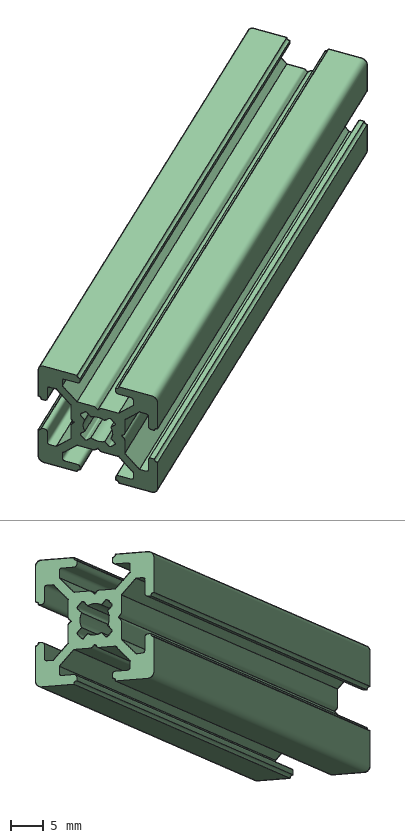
import cadquery as cq
import math

length = 85.0
width = 20.0
half_width = width / 2
outer_radius = 1.0

mouth_half_width = 3.0
lip_thickness = 1.5
lip_notch_radius = 0.5
lip_tip_radius = 0.5
pocket_half_width = 5.95
pocket_corner_radius = 0.4
web_thickness = 1.45
core_half_width = 4.5

groove_half_width = 0.5
groove_depth = 0.5
groove_edge_radius = 0.5

bore_radius = 2.5
relief_reach = 3.6
relief_width = 1.45
relief_corner_radius = 0.25


def extrude(sketch):
    """Extrude an outline drawn on the XZ plane over the full length, centred on Y."""
    return sketch.extrude(length / 2, both=True)


def outer_bar():
    bar = extrude(cq.Workplane("XZ").rect(width, width))
    return bar.edges("|Y").fillet(outer_radius)


def slot_cutter():
    """T-slot opening towards +Z, including the sloped flanks and the floor groove."""
    lip_bottom = half_width - lip_thickness
    flank_offset = web_thickness / 2 * math.sqrt(2)
    right_side = [
        (groove_half_width, core_half_width),
        (core_half_width - flank_offset, core_half_width),
        (pocket_half_width, pocket_half_width + flank_offset),
        (pocket_half_width, lip_bottom),
        (mouth_half_width, lip_bottom),
        (mouth_half_width, half_width),
    ]
    left_side = [(-x, z) for x, z in reversed(right_side)]
    groove_bottom = (0, core_half_width - groove_depth)
    outline = cq.Workplane("XZ").polyline([groove_bottom] + right_side + left_side).close()
    cutter = extrude(outline)

    for side in (-1, 1):
        pocket_corner = (side * pocket_half_width, 0, lip_bottom)
        groove_edge = (side * groove_half_width, 0, core_half_width)
        lip_tip = (side * mouth_half_width, 0, lip_bottom)
        cutter = cutter.edges(cq.NearestToPointSelector(pocket_corner)).fillet(pocket_corner_radius)
        cutter = cutter.edges(cq.NearestToPointSelector(lip_tip)).fillet(lip_tip_radius)
        cutter = cutter.edges(cq.NearestToPointSelector(groove_edge)).fillet(groove_edge_radius)

    notch_centres = [(-mouth_half_width, half_width), (mouth_half_width, half_width)]
    notches = extrude(cq.Workplane("XZ").pushPoints(notch_centres).circle(lip_notch_radius))

    return cutter.union(notches)


def relief_cutter():
    """Flat-ended relief of the bore, running from the centre along one profile diagonal."""
    outline = cq.Workplane("XZ").center(relief_reach / 2, 0).rect(relief_reach, relief_width)
    relief = extrude(outline).edges("|Y and >X").fillet(relief_corner_radius)
    return relief.rotate((0, 0, 0), (0, 1, 0), 45)


slot = slot_cutter()
relief = relief_cutter()
result = outer_bar().cut(extrude(cq.Workplane("XZ").circle(bore_radius)))
for angle in (0, 90, 180, 270):
    for cutter in (slot, relief):
        result = result.cut(cutter.rotate((0, 0, 0), (0, 1, 0), angle))